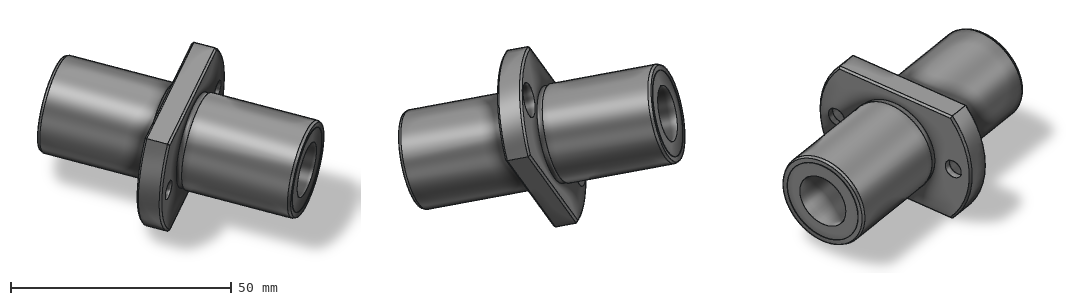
import cadquery as cq

LENGTH = 61.0
SLEEVE_DIAMETER = 23.0
BORE_DIAMETER = 13.0
END_CHAMFER_LENGTH = 0.7
END_CHAMFER_DEPTH = 0.3

END_RECESS_DIAMETER = 20.0
END_RECESS_DEPTH = 0.1

FLANGE_DIAMETER = 43.0
FLANGE_HEIGHT = 29.0
FLANGE_THICKNESS = 6.0
FLANGE_CHAMFER = 0.5

GROOVE_WIDTH = 1.35
GROOVE_DEPTH = 0.3
GROOVE_DEPTH_AT_FLANGE = 0.2

HOLE_SPACING = 33.0
HOLE_DIAMETER = 4.5
COUNTERBORE_DIAMETER = 8.0
COUNTERBORE_DEPTH = 4.4


def x_cylinder(diameter, x_start, length, y=0):
    """Solid cylinder along +X, starting at x_start and offset sideways by y."""
    plane = cq.Workplane("YZ", origin=(x_start, y, 0))
    return plane.circle(diameter / 2).extrude(length)


def make_sleeve():
    """Chamfered, grooved body of revolution about X, without its bore."""
    x_end = LENGTH / 2
    x_chamfer = x_end - END_CHAMFER_LENGTH
    x_flange = FLANGE_THICKNESS / 2
    x_groove_middle = x_flange + GROOVE_WIDTH / 2
    x_groove_end = x_flange + GROOVE_WIDTH
    radius = SLEEVE_DIAMETER / 2
    root_radius = radius - GROOVE_DEPTH_AT_FLANGE
    groove_radius = radius - GROOVE_DEPTH
    end_radius = radius - END_CHAMFER_DEPTH

    half_profile = (
        cq.Workplane("XY")
        .lineTo(0, root_radius)
        .lineTo(x_flange, root_radius)
        .threePointArc((x_groove_middle, groove_radius), (x_groove_end, radius))
        .lineTo(x_chamfer, radius)
        .lineTo(x_end, end_radius)
        .lineTo(x_end, 0)
        .close()
    )
    half = half_profile.revolve(360, (0, 0, 0), (1, 0, 0))
    return half.union(half.mirror("YZ"))


def make_flange():
    disc = x_cylinder(FLANGE_DIAMETER, -FLANGE_THICKNESS / 2, FLANGE_THICKNESS)
    between_flats = cq.Workplane("XY").box(FLANGE_THICKNESS, FLANGE_DIAMETER, FLANGE_HEIGHT)
    flange = disc.intersect(between_flats)
    return flange.faces("<X or >X").edges().chamfer(FLANGE_CHAMFER)


def make_mounting_hole(y):
    """Cutter for a through hole, counterbored from the -X face of the flange."""
    x_face = -FLANGE_THICKNESS / 2
    hole = x_cylinder(HOLE_DIAMETER, x_face, FLANGE_THICKNESS, y)
    counterbore = x_cylinder(COUNTERBORE_DIAMETER, x_face, COUNTERBORE_DEPTH, y)
    return hole.union(counterbore)


result = make_sleeve().union(make_flange())

result = result.cut(x_cylinder(BORE_DIAMETER, -LENGTH / 2, LENGTH))
for recess_start in (-LENGTH / 2, LENGTH / 2 - END_RECESS_DEPTH):
    result = result.cut(x_cylinder(END_RECESS_DIAMETER, recess_start, END_RECESS_DEPTH))

for side in (-1, 1):
    result = result.cut(make_mounting_hole(side * HOLE_SPACING / 2))